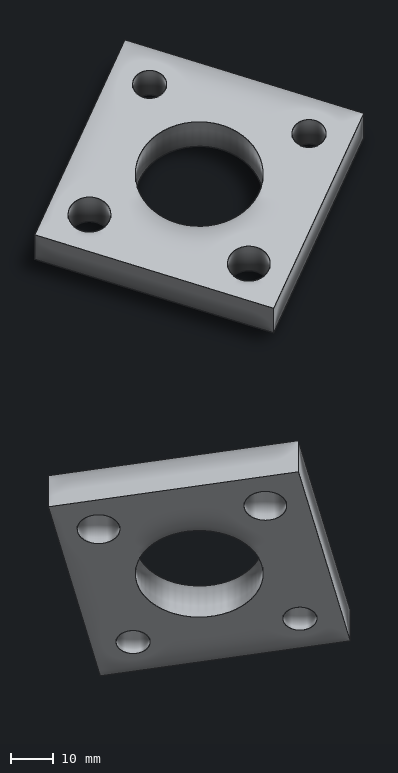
import cadquery as cq

side = 60.0
thickness = side / 6

bore_diameter = side / 2
front_hole_diameter = 10.0
rear_hole_diameter = 8.0
hole_spacing = side * 2 / 3
hole_offset = hole_spacing / 2


def drill_pair(plate, y, diameter):
    """Drill two through holes, mirrored about the YZ plane, at the given Y."""
    return (
        plate.faces(">Z")
        .workplane(origin=(0, 0, 0))
        .pushPoints([(-hole_offset, y), (hole_offset, y)])
        .hole(diameter)
    )


plate = cq.Workplane("XY").box(side, side, thickness)
plate = plate.faces(">Z").workplane(origin=(0, 0, 0)).hole(bore_diameter)
plate = drill_pair(plate, -hole_offset, front_hole_diameter)
plate = drill_pair(plate, hole_offset, rear_hole_diameter)

result = plate